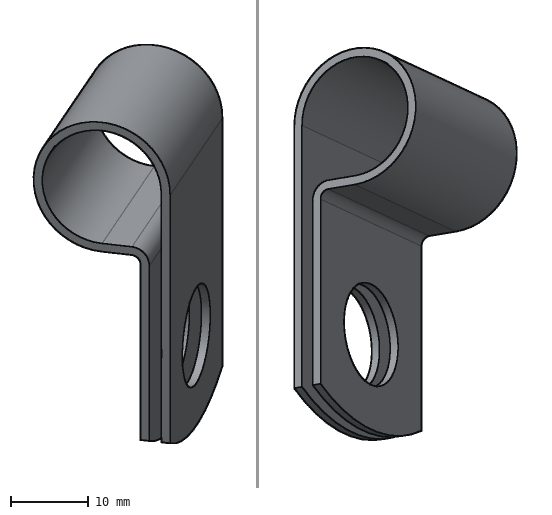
import cadquery as cq

height = 47.25
loop_diameter = 18.3
width = 25.4

thickness = 1.2
leg_gap = 1.6
bend_outer_radius = 2.35

hole_diameter = 13.5
hole_height = 12.75
end_rise = 3.0

outer_radius = loop_diameter / 2
inner_radius = outer_radius - thickness
bend_inner_radius = bend_outer_radius - thickness
loop_z = height - outer_radius
short_leg_right = inner_radius - leg_gap
short_leg_left = short_leg_right - thickness
bend_x = short_leg_right - bend_outer_radius
bend_z = loop_z - inner_radius - bend_outer_radius


def arc_middle(center_x, center_z, radius, x_sign):
    """Point halfway along an upper quarter arc or an upper-left three-quarter arc."""
    offset = radius * 0.5 ** 0.5
    return (center_x + x_sign * offset, center_z + offset)


def bent_strip():
    """Strip bent into a long leg, a three-quarter loop and a short leg."""
    return (
        cq.Workplane("XZ")
        .moveTo(outer_radius, 0)
        .lineTo(outer_radius, loop_z)
        .threePointArc(arc_middle(0, loop_z, outer_radius, -1), (0, loop_z - outer_radius))
        .lineTo(bend_x, loop_z - outer_radius)
        .threePointArc(arc_middle(bend_x, bend_z, bend_inner_radius, 1), (short_leg_left, bend_z))
        .lineTo(short_leg_left, 0)
        .lineTo(short_leg_right, 0)
        .lineTo(short_leg_right, bend_z)
        .threePointArc(arc_middle(bend_x, bend_z, bend_outer_radius, 1), (bend_x, bend_z + bend_outer_radius))
        .lineTo(0, loop_z - inner_radius)
        .threePointArc(arc_middle(0, loop_z, inner_radius, -1), (inner_radius, loop_z))
        .lineTo(inner_radius, 0)
        .close()
        .extrude(width / 2, both=True)
    )


def rounded_end_envelope():
    """Block around the part whose lower side is the shallow arc of the leg ends."""
    return (
        cq.Workplane("YZ")
        .moveTo(-width / 2, height)
        .lineTo(-width / 2, end_rise)
        .threePointArc((0, 0), (width / 2, end_rise))
        .lineTo(width / 2, height)
        .close()
        .extrude(loop_diameter, both=True)
    )


def fastener_hole():
    """Cylinder that passes through both legs."""
    return (
        cq.Workplane("YZ")
        .center(0, hole_height)
        .circle(hole_diameter / 2)
        .extrude(loop_diameter, both=True)
    )


result = bent_strip().intersect(rounded_end_envelope()).cut(fastener_hole())